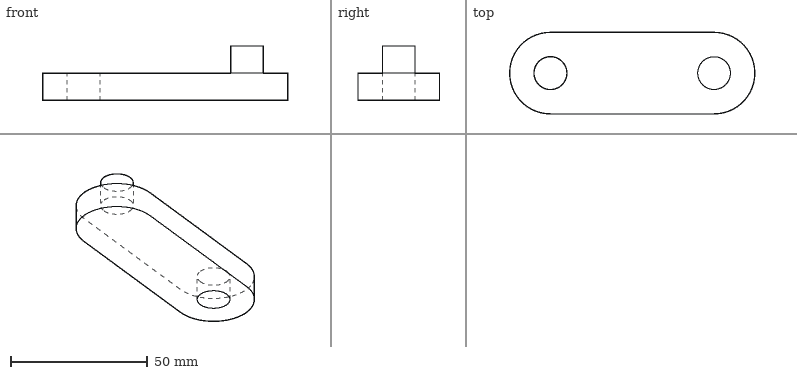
import cadquery as cq

center_distance = 60.0
link_width = 30.0
link_thickness = 10.0
pin_diameter = 12.0
pin_height = 10.0
hole_diameter = 12.0

link_length = center_distance + link_width


def make_link():
    """Flat bar with full-round ends, concentric with the hole and the pin."""
    return (
        cq.Workplane("XY")
        .center(center_distance / 2, 0)
        .slot2D(link_length, link_width)
        .extrude(link_thickness)
    )


def make_pin():
    """Round pin standing on the top face of the link."""
    return (
        cq.Workplane("XY", origin=(center_distance, 0, link_thickness))
        .circle(pin_diameter / 2)
        .extrude(pin_height)
    )


def make_hole():
    """Cutter for the through hole at the other end of the link."""
    return cq.Workplane("XY").circle(hole_diameter / 2).extrude(link_thickness)


result = make_link().union(make_pin()).cut(make_hole())